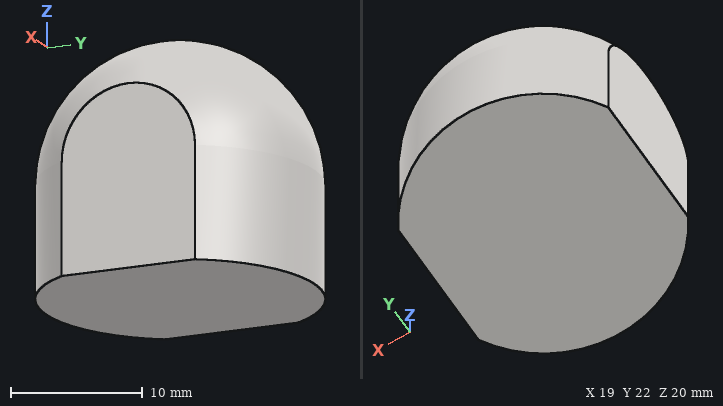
import cadquery as cq

diameter = 22.0
total_height = 20.0
width_across_flats = 19.0

radius = diameter / 2
cylinder_height = total_height - radius


def domed_cylinder():
    """Upright cylinder capped by a hemisphere of the same radius."""
    cylinder = cq.Workplane("XY").circle(radius).extrude(cylinder_height)
    dome = cq.Workplane("XY").sphere(radius).translate((0, 0, cylinder_height))
    upper_space = (
        cq.Workplane("XY")
        .workplane(offset=cylinder_height)
        .rect(diameter, diameter)
        .extrude(radius)
    )
    return cylinder.union(dome.intersect(upper_space))


def flats_envelope():
    """Block whose X faces form the two parallel side flats."""
    return cq.Workplane("XY").rect(width_across_flats, diameter).extrude(total_height)


result = domed_cylinder().intersect(flats_envelope())